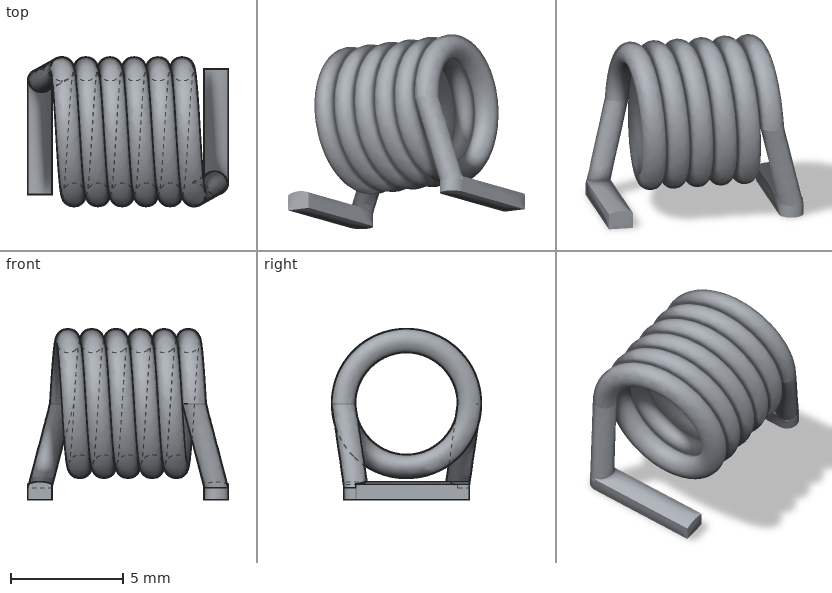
import cadquery as cq

total_length = 8.94
coil_diameter = 6.67
coil_wire = 1.06
coil_pitch = 1.07
turns = 5.5
coil_axis_height = 4.29

foot_width = 1.09
foot_reach = 2.8
foot_side_height = 0.7
foot_crown_height = 0.81
leg_base_height = 0.545

winding_radius = (coil_diameter - coil_wire) / 2
coil_length = coil_pitch * turns
foot_radius = foot_width / 2
foot_x = -total_length / 2 + foot_radius
heel_y = foot_reach - foot_radius


def make_coil():
    """Helical winding about X, from the +Y side at -X over the top to the -Y side at +X."""
    path = cq.Workplane(cq.Wire.makeHelix(coil_pitch, coil_length, winding_radius))
    wire = cq.Workplane("XZ").center(winding_radius, 0).circle(coil_wire / 2)
    coil = wire.sweep(path, isFrenet=True)
    coil = coil.rotate((0, 0, 0), (1, 1, 1), 120)
    return coil.translate((-coil_length / 2, 0, coil_axis_height))


def make_leg():
    """Sloping round leg from the heel of the -X foot up to the start of the coil."""
    rise = coil_axis_height - leg_base_height
    return (
        cq.Workplane("XY", origin=(foot_x, heel_y, leg_base_height))
        .circle(coil_wire / 2)
        .workplane(offset=rise)
        .center(-coil_length / 2 - foot_x, winding_radius - heel_y)
        .circle(coil_wire / 2)
        .loft(ruled=True)
    )


def make_foot():
    """Flat-bottomed foot with a crowned top and a rounded heel under the leg."""
    base = (
        cq.Workplane("XY")
        .moveTo(foot_x - foot_radius, -foot_reach)
        .lineTo(foot_x + foot_radius, -foot_reach)
        .lineTo(foot_x + foot_radius, heel_y)
        .threePointArc((foot_x, foot_reach), (foot_x - foot_radius, heel_y))
        .close()
        .extrude(leg_base_height)
    )
    crown = (
        cq.Workplane("XZ", origin=(foot_x, heel_y, 0))
        .moveTo(-foot_radius, leg_base_height)
        .lineTo(foot_radius, leg_base_height)
        .lineTo(foot_radius, foot_side_height)
        .threePointArc((0, foot_crown_height), (-foot_radius, foot_side_height))
        .close()
        .extrude(heel_y + foot_reach)
    )
    return base.union(crown)


terminal = make_foot().union(make_leg())
opposite_terminal = terminal.rotate((0, 0, 0), (0, 0, 1), 180)
result = make_coil().union(terminal).union(opposite_terminal)